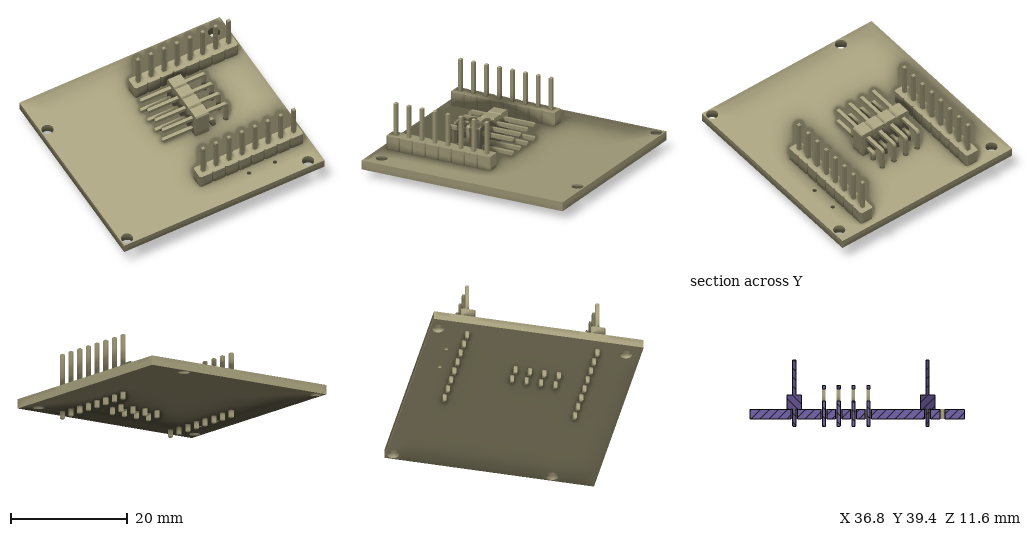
import cadquery as cq


board_length = 39.37
pitches_along_board = 15.5
pitches_across_board = 14.5
pitch = board_length / pitches_along_board
board_width = pitches_across_board * pitch
board_thickness = 1.65

mount_hole_diameter = 2.1
pin_hole_diameter = 1.0
small_hole_diameter = 0.75

mount_hole_places = [(1, 1), (14, 1), (3, 15), (14, 15)]
small_hole_places = [(13, 3), (13, 5)]

cell_chamfer = 0.1 * pitch

pin_side = 0.63
pin_tip_chamfer = 0.15
pin_length = 11.55
pin_tail = 1.35
pin_reach = pin_length - pin_tail - board_thickness - pitch

straight_columns = [3, 12]
straight_first_row = 1
straight_pin_count = 8

angled_columns = [5, 6, 7, 8]
lower_pin_row = 5
upper_pin_row = 4
housing_setback = 1.5


def grid_point(column, row):
    """X and Y of a grid place counted from the rear left corner of the board."""
    return column * pitch - board_width / 2, board_length / 2 - row * pitch


straight_rows = range(straight_first_row, straight_first_row + straight_pin_count)
straight_places = [(column, row) for column in straight_columns for row in straight_rows]
angled_places = [(column, row) for column in angled_columns for row in (upper_pin_row, lower_pin_row)]


def make_board():
    """Flat board with mounting holes, pin holes and two small holes."""
    board = cq.Workplane("XY").box(
        board_width, board_length, board_thickness, centered=(True, True, False)
    )
    for places, diameter in [
        (mount_hole_places, mount_hole_diameter),
        (small_hole_places, small_hole_diameter),
        (straight_places + angled_places, pin_hole_diameter),
    ]:
        centres = [grid_point(column, row) for column, row in places]
        holes = (
            cq.Workplane("XY")
            .pushPoints(centres)
            .circle(diameter / 2)
            .extrude(board_thickness)
        )
        board = board.cut(holes)
    return board


def make_straight_header(column):
    """One header: a row of housing cells moulded onto upright pins."""
    header = None
    for row in straight_rows:
        x, y = grid_point(column, row)
        cell = (
            cq.Workplane("XY", origin=(x, y, board_thickness))
            .rect(pitch, pitch)
            .extrude(pitch)
            .edges("|Z")
            .chamfer(cell_chamfer)
        )
        pin = (
            cq.Workplane("XY", origin=(x, y, -pin_tail))
            .rect(pin_side, pin_side)
            .extrude(pin_length)
            .faces("<Z or >Z")
            .chamfer(pin_tip_chamfer)
        )
        header = cell if header is None else header.union(cell)
        header = header.union(pin)
    return header


def make_bent_pin(column, row, height, front_end):
    """Pin rising through the board, then turning forward at the given height.

    The outside of the bend is a quarter circle centred on the sharp inside corner.
    """
    x, y = grid_point(column, row)
    half_side = pin_side / 2
    pin = (
        cq.Workplane("YZ", origin=(x, 0, 0))
        .moveTo(y + half_side, -pin_tail)
        .lineTo(y + half_side, height - half_side)
        .radiusArc((y - half_side, height + half_side), -pin_side)
        .lineTo(front_end, height + half_side)
        .lineTo(front_end, height - half_side)
        .lineTo(y - half_side, height - half_side)
        .lineTo(y - half_side, -pin_tail)
        .close()
        .extrude(half_side, both=True)
    )
    return pin.faces("<Z or <Y").chamfer(pin_tip_chamfer)


def make_angled_header():
    """Two-high housing whose lower and upper pins bend down through the board."""
    lower_height = board_thickness + pitch / 2
    upper_height = lower_height + pitch
    _, lower_row_y = grid_point(angled_columns[0], lower_pin_row)
    housing_rear = lower_row_y - housing_setback
    front_end = housing_rear - pitch - pin_reach
    header = None
    for column in angled_columns:
        x, _ = grid_point(column, lower_pin_row)
        cell = (
            cq.Workplane("XZ", origin=(x, housing_rear, board_thickness + pitch))
            .rect(pitch, 2 * pitch)
            .extrude(pitch)
            .edges("|Y")
            .chamfer(cell_chamfer)
        )
        header = cell if header is None else header.union(cell)
        header = header.union(make_bent_pin(column, lower_pin_row, lower_height, front_end))
        header = header.union(make_bent_pin(column, upper_pin_row, upper_height, front_end))
    return header


board = make_board()
straight_headers = [make_straight_header(column) for column in straight_columns]
angled_header = make_angled_header()

result = cq.Compound.makeCompound(
    [board.val(), *[header.val() for header in straight_headers], angled_header.val()]
)